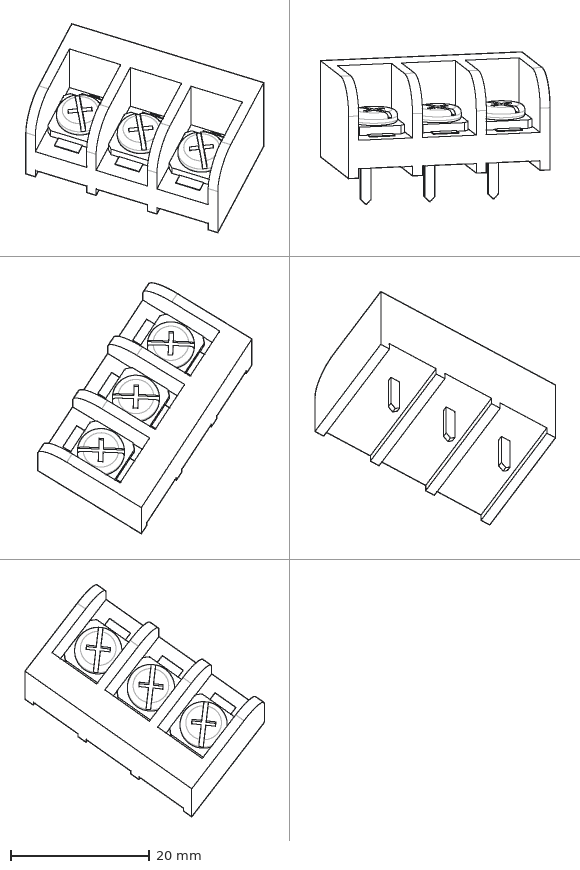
import cadquery as cq


LENGTH = 30.0
DEPTH = 17.8
HEIGHT = 14.2
BAY_COUNT = 3
WALL = 1.5
BAY_WIDTH = (LENGTH - (BAY_COUNT + 1) * WALL) / BAY_COUNT
BAY_PITCH = BAY_WIDTH + WALL
BAY_BACK = 13.2
FLOOR_Z = 5.6
FOOT_HEIGHT = 1.4
NOSE_RADIUS = 5.0

TERMINAL_PITCH = 9.48
TERMINAL_Y = 7.38
TAB_WIDTH = 3.75
TAB_DEPTH = 10.68
TAB_RISE = 0.12
PIN_WIDTH = 1.5
PIN_THICKNESS = 0.72
PIN_BACK = 13.02
PIN_LENGTH = 6.3
PIN_RISE = 0.05
TAB_TOP = FLOOR_Z + TAB_RISE
PIN_TOP = FLOOR_Z + PIN_RISE

PLATE_SIDE = 7.62
PLATE_CORNER = 0.72
PLATE_THICKNESS = 1.23
PLATE_TOP = FLOOR_Z + PLATE_THICKNESS

HEAD_DIAMETER = 6.85
HEAD_HEIGHT = 1.77
HEAD_TOP_ROUND = 0.85
HEAD_BOTTOM_ROUND = 0.4
SLOT_WIDTH = 0.65
SLOT_DEPTH = 0.78
CROSS_LENGTH = 3.48
CROSS_ANGLE = 30.0


def row_positions(pitch):
    """X positions of one item per bay, centred on the block."""
    return [(i - (BAY_COUNT - 1) / 2) * pitch for i in range(BAY_COUNT)]


def block(width, depth, bottom, top):
    """Box centred in X and Y between two heights."""
    return cq.Workplane("XY").workplane(offset=bottom).rect(width, depth).extrude(top - bottom)


def make_housing():
    """Body with rounded upper front edge, open bays and a row of feet below."""
    body = block(LENGTH, DEPTH, 0, HEIGHT).translate((0, DEPTH / 2, 0))
    body = body.faces("<Y").edges(">Z").fillet(NOSE_RADIUS)
    bay = block(BAY_WIDTH, BAY_BACK, FLOOR_Z, HEIGHT).translate((0, BAY_BACK / 2, 0))
    foot_gap = block(BAY_WIDTH, DEPTH, 0, FOOT_HEIGHT).translate((0, DEPTH / 2, 0))
    for x in row_positions(BAY_PITCH):
        body = body.cut(bay.translate((x, 0, 0)))
        body = body.cut(foot_gap.translate((x, 0, 0)))
    return body


def make_pin():
    """Flat solder pin with a right-angled point, ending just below the top of the tab."""
    half = PIN_WIDTH / 2
    shoulder_z = half - PIN_LENGTH
    outline = [(-half, PIN_TOP), (-half, shoulder_z), (0, -PIN_LENGTH), (half, shoulder_z), (half, PIN_TOP)]
    pin = cq.Workplane("XZ").polyline(outline).close().extrude(PIN_THICKNESS)
    return pin.translate((0, PIN_BACK, 0))


def make_screw_head():
    """Rounded screw head with a full-width slot and a shorter cross slot."""
    top = PLATE_TOP + HEAD_HEIGHT
    head = cq.Workplane("XY").workplane(offset=PLATE_TOP).circle(HEAD_DIAMETER / 2).extrude(HEAD_HEIGHT)
    head = head.faces(">Z").edges().fillet(HEAD_TOP_ROUND)
    head = head.faces("<Z").edges().fillet(HEAD_BOTTOM_ROUND)
    cross_slot = block(CROSS_LENGTH, SLOT_WIDTH, top - SLOT_DEPTH, top)
    long_slot = block(SLOT_WIDTH, HEAD_DIAMETER, top - SLOT_DEPTH, top)
    return head.cut(cross_slot.union(long_slot).rotate((0, 0, 0), (0, 0, 1), CROSS_ANGLE))


def make_terminal():
    """Tab, pin, clamping plate and screw head for one bay."""
    tab = block(TAB_WIDTH, TAB_DEPTH, FLOOR_Z, TAB_TOP)
    plate = block(PLATE_SIDE, PLATE_SIDE, FLOOR_Z, PLATE_TOP).edges("|Z").chamfer(PLATE_CORNER)
    stack = tab.union(plate).union(make_screw_head())
    return stack.translate((0, TERMINAL_Y, 0)).union(make_pin())


result = make_housing()
terminal = make_terminal()
for terminal_x in row_positions(TERMINAL_PITCH):
    result = result.union(terminal.translate((terminal_x, 0, 0)))